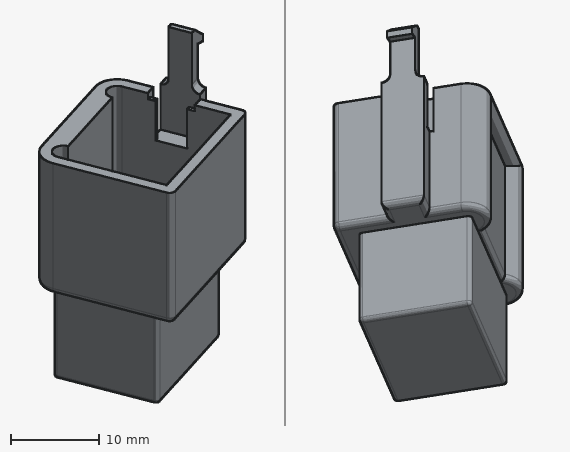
import cadquery as cq
import math

total_height = 37.9
rim_height = 29.95
plug_height = 12.4

body_width = 17.8
body_depth = 19.5
wall = 1.45
lobe_radius = 2.73
right_corner_radius = 0.75
bottom_fillet = 0.75
recess_depth = 1.35
lip_radius = 1.5

plug_left = 1.97
plug_front = 1.63
plug_width = 13.23
plug_depth = 16.2
plug_fillet = 0.5

tab_center = 8.9
tab_width = 5.0
stem_width = 2.95
tab_inner = 20.4
tab_outer = 22.0
hook_tip = 23.35
hook_slope_start = 21.15
hook_tip_top = 36.05
hook_tip_bottom = 35.15
hook_root = 35.55
shoulder_height = rim_height

sill_height = 23.88
slot_width = 5.9
flange_width = 1.0
flange_thickness = 0.53
flange_drop = 0.8


def box(x, y, z, width, depth, height):
    """Block with its lowest corner at (x, y, z)."""
    return cq.Workplane("XY").box(width, depth, height, centered=False).translate((x, y, z))


def make_side_recess():
    """Hollow between the two round left lobes, closed above by a rounded lip."""
    recess_front = lobe_radius
    recess_back = body_depth - lobe_radius
    lip_drop = math.sqrt(lip_radius**2 - (lip_radius - recess_depth) ** 2)
    arc_angle = math.atan2(lip_drop, lip_radius - recess_depth) / 2
    arc_middle = (
        lip_radius * (1 - math.cos(arc_angle)),
        rim_height - lip_radius * math.sin(arc_angle),
    )
    recess = (
        cq.Workplane("XZ", origin=(0, recess_front, 0))
        .moveTo(0, plug_height)
        .lineTo(recess_depth, plug_height)
        .lineTo(recess_depth, rim_height - lip_drop)
        .threePointArc(arc_middle, (0, rim_height))
        .close()
        .extrude(recess_front - recess_back)
    )
    for lobe_y in (recess_front, recess_back):
        lobe = cq.Workplane("XY").center(lobe_radius, lobe_y).circle(lobe_radius).extrude(rim_height)
        recess = recess.cut(lobe)
    return recess


def make_body():
    """Outer block with the tab foot, side recess and rounded bottom edge."""
    body_height = rim_height - plug_height
    body = box(0, 0, plug_height, body_width, body_depth, body_height)
    body = body.edges("|Z and <X").fillet(lobe_radius)
    body = body.edges("|Z and >X").fillet(right_corner_radius)
    foot = box(
        tab_center - tab_width / 2,
        body_depth - wall,
        plug_height,
        tab_width,
        tab_outer - body_depth + wall,
        sill_height - plug_height,
    )
    body = body.cut(make_side_recess()).union(foot)
    return body.faces("<Z").edges().fillet(bottom_fillet)


def make_plug():
    plug = box(plug_left, plug_front, 0, plug_width, plug_depth, plug_height + wall)
    return plug.edges("|Z or <Z").fillet(plug_fillet)


def make_pocket():
    """Open-topped pocket that follows the lobes inside the left wall."""
    pocket_height = rim_height - plug_height - wall
    floor = plug_height + wall
    inner_left = lobe_radius
    pocket = box(inner_left, wall, floor, body_width - wall - inner_left, body_depth - 2 * wall, pocket_height)
    for lobe_y in (lobe_radius, body_depth - lobe_radius):
        lobe = (
            cq.Workplane("XY", origin=(0, 0, floor))
            .center(lobe_radius, lobe_y)
            .circle(lobe_radius - wall)
            .extrude(pocket_height)
        )
        pocket = pocket.union(lobe)
    return pocket


def make_slot():
    """Gap in the back wall, narrowed by a thin flange on each inner edge."""
    slot_left = tab_center - slot_width / 2
    inner_face = body_depth - wall
    slot_height = rim_height - sill_height
    slot = box(slot_left, inner_face, sill_height, slot_width, wall, slot_height)
    for flange_left in (slot_left, slot_left + slot_width - flange_width):
        flange = box(
            flange_left, inner_face, sill_height, flange_width, flange_thickness, slot_height - flange_drop
        )
        slot = slot.cut(flange)
    return slot


def make_tab():
    """Latch: hooked side profile trimmed to a wide base flaring into a narrow stem."""
    profile = (
        cq.Workplane("YZ", origin=(tab_center - tab_width / 2, 0, 0))
        .polyline(
            [
                (tab_inner, sill_height),
                (tab_inner, total_height),
                (hook_slope_start, total_height),
                (hook_tip, hook_tip_top),
                (hook_tip, hook_tip_bottom),
                (tab_outer, hook_root),
                (tab_outer, sill_height),
            ]
        )
        .close()
        .extrude(tab_width)
    )
    flare = (tab_width - stem_width) / 2
    arc_middle_offset = flare * (1 - math.sqrt(0.5))
    half_stem = stem_width / 2
    half_tab = tab_width / 2
    outline = (
        cq.Workplane("XZ", origin=(tab_center, tab_inner, 0))
        .moveTo(-half_tab, sill_height)
        .lineTo(-half_tab, shoulder_height)
        .threePointArc(
            (-half_stem - arc_middle_offset, shoulder_height + arc_middle_offset),
            (-half_stem, shoulder_height + flare),
        )
        .lineTo(-half_stem, total_height)
        .lineTo(half_stem, total_height)
        .lineTo(half_stem, shoulder_height + flare)
        .threePointArc(
            (half_stem + arc_middle_offset, shoulder_height + arc_middle_offset),
            (half_tab, shoulder_height),
        )
        .lineTo(half_tab, sill_height)
        .close()
        .extrude(tab_inner - hook_tip)
    )
    return profile.intersect(outline)


result = make_body().union(make_plug()).cut(make_pocket()).cut(make_slot()).union(make_tab())